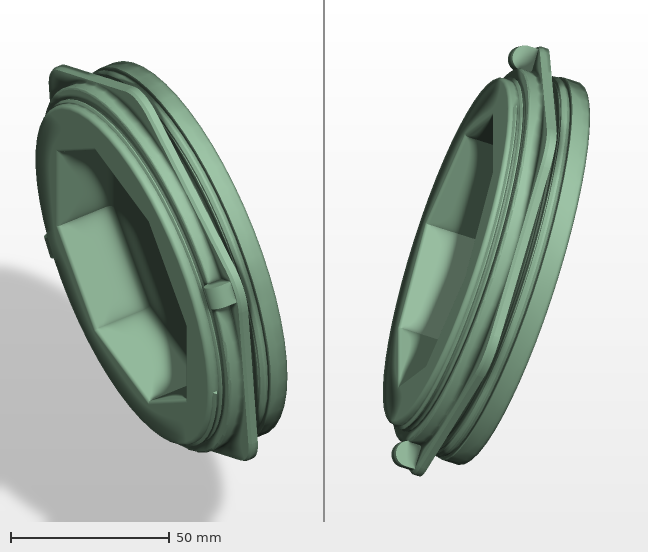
import cadquery as cq
import math


root_radius = 115.1 / 2
crest_radius = 117.1 / 2
end_fillet = 1.1
head_radius = 127.0 / 2
head_bottom = 19.2
head_top = 25.5
head_fillet = 1.3
plug_length = 28.7

thread_start = 2.1
thread_end = 16.4
thread_turns = 7
thread_pitch = (thread_end - thread_start) / thread_turns
crest_width = 0.3
flank_angle = 30
thread_sink = 0.3

recess_across_flats = 84.3
recess_sides = 8
recess_depth = 19.3
mouth_fillet = 1.0
floor_fillet = 2.0

seal_radius = 126.0 / 2
seal_lip_radius = 61.3
seal_bottom = 15.7
seal_rim_bottom = 16.0
seal_rim_top = 18.6
seal_chamfer_height = 1.0
seal_chamfer_inset = 0.5

nut_sides = 6
nut_span = 141.2
nut_tilt = 6.5
nut_corner_radius = 14.8
nut_back = 12.9
nut_flange_front = 9.7
nut_chamfer_depth = 1.0
nut_chamfer_inset = 0.5
collar_radius = 124.0 / 2
collar_front = 5.1
collar_edge_fillet = 0.7
collar_foot_fillet = 0.7

lug_width = 7
lug_length = 8.2
lug_front = 2.4
lug_outer = 69.6
lug_angle = 90 - 360 / nut_sides + nut_tilt
lug_count = 2


def turned(profile):
    """Revolve a closed (radius, y) profile about the Y axis."""
    return profile.close().revolve(360, (0, 0, 0), (0, 1, 0))


def disc(radius, front, back):
    """A cylinder about the Y axis between two y positions."""
    return cq.Workplane("XZ", origin=(0, back, 0)).circle(radius).extrude(back - front)


def make_thread():
    """One right-handed helical ridge with a trapezoidal section, starting on +X."""
    ridge_inner = root_radius - thread_sink
    half_crest = crest_width / 2
    half_base = half_crest + (crest_radius - ridge_inner) * math.tan(math.radians(flank_angle))
    path = cq.Wire.makeHelix(thread_pitch, thread_end - thread_start, ridge_inner)
    ridge = (
        cq.Workplane("XZ")
        .moveTo(ridge_inner, -half_base)
        .lineTo(crest_radius, -half_crest)
        .lineTo(crest_radius, half_crest)
        .lineTo(ridge_inner, half_base)
        .close()
        .sweep(cq.Workplane(obj=path), isFrenet=True)
    )
    return ridge.rotate((0, 0, 0), (1, 0, 0), -90).translate((0, thread_start, 0))


def make_recess():
    """The octagonal cavity, rounded at its floor and flared at its mouth."""
    corner_diameter = recess_across_flats / math.cos(math.pi / recess_sides)
    half_side_angle = math.degrees(math.pi / recess_sides)
    prism = (
        cq.Workplane("XZ", origin=(0, recess_depth, 0))
        .polygon(recess_sides, corner_diameter)
        .extrude(recess_depth)
        .rotate((0, 0, 0), (0, 1, 0), half_side_angle)
    )
    return prism.faces(">Y").edges().fillet(floor_fillet)


def make_plug():
    head_face_radius = head_radius - head_fillet
    dome_height = plug_length - head_top
    dome_radius = (head_face_radius**2 + dome_height**2) / (2 * dome_height)
    dome_center = plug_length - dome_radius
    half_angle = math.asin(head_face_radius / dome_radius) / 2
    dome_middle = (dome_radius * math.sin(half_angle), dome_center + dome_radius * math.cos(half_angle))
    head_edge = head_top - head_fillet
    fillet_middle = head_fillet * math.sqrt(0.5)
    core = turned(
        cq.Workplane("XY")
        .lineTo(root_radius, 0)
        .lineTo(root_radius, head_bottom)
        .lineTo(head_radius, head_bottom)
        .lineTo(head_radius, head_edge)
        .threePointArc(
            (head_face_radius + fillet_middle, head_edge + fillet_middle), (head_face_radius, head_top)
        )
        .threePointArc(dome_middle, (0, plug_length))
    )
    core = core.faces("<Y").edges().fillet(end_fillet)
    pocketed = core.cut(make_recess())
    mouth_edges = pocketed.faces("<Y").edges("%LINE")
    return mouth_edges.fillet(mouth_fillet).union(make_thread())


def make_seal():
    """A ring with a chamfered rim standing out from a narrower band."""
    shoulder_radius = seal_radius - seal_chamfer_inset
    return turned(
        cq.Workplane("XY")
        .moveTo(crest_radius, seal_bottom)
        .lineTo(seal_lip_radius, seal_bottom)
        .lineTo(seal_lip_radius, seal_rim_bottom)
        .lineTo(shoulder_radius, seal_rim_bottom)
        .lineTo(seal_radius, seal_rim_bottom + seal_chamfer_height)
        .lineTo(seal_radius, seal_rim_top - seal_chamfer_height)
        .lineTo(shoulder_radius, seal_rim_top)
        .lineTo(seal_lip_radius, seal_rim_top)
        .lineTo(seal_lip_radius, head_bottom)
        .lineTo(crest_radius, head_bottom)
    )


def make_flange():
    """The rounded hexagonal plate, chamfered along its front edge."""
    corner_center = (nut_span / 2 - nut_corner_radius) / math.cos(math.radians(nut_tilt))
    across_corners = 2 * (corner_center + nut_corner_radius / math.cos(math.pi / nut_sides))
    plate = (
        cq.Workplane("XZ", origin=(0, nut_back, 0))
        .polygon(nut_sides, across_corners)
        .extrude(nut_back - nut_flange_front)
        .edges("|Y")
        .fillet(nut_corner_radius)
        .faces("<Y")
        .edges()
        .chamfer(nut_chamfer_depth, nut_chamfer_inset)
    )
    return plate.rotate((0, 0, 0), (0, 1, 0), -lug_angle)


def make_collar():
    """The round collar, with a rounded front edge and a fillet blending into the flange."""
    foot_middle = collar_foot_fillet * (1 - math.sqrt(0.5))
    foot_top = nut_flange_front - collar_foot_fillet
    foot_radius = collar_radius + collar_foot_fillet
    collar = turned(
        cq.Workplane("XY")
        .moveTo(0, collar_front)
        .lineTo(collar_radius, collar_front)
        .lineTo(collar_radius, foot_top)
        .threePointArc(
            (collar_radius + foot_middle, nut_flange_front - foot_middle), (foot_radius, nut_flange_front)
        )
        .lineTo(0, nut_flange_front)
    )
    return collar.faces("<Y").edges().fillet(collar_edge_fillet)


def make_lug(angle):
    """A block standing on the flange, half-round at its front about a tangential axis."""
    half_length = lug_length / 2
    lug_middle = lug_outer - half_length
    lug_inner = lug_outer - lug_length
    shoulder = lug_front + half_length
    block = (
        cq.Workplane("XY", origin=(0, 0, -lug_width / 2))
        .moveTo(lug_outer, nut_flange_front)
        .lineTo(lug_outer, shoulder)
        .threePointArc((lug_middle, lug_front), (lug_inner, shoulder))
        .lineTo(lug_inner, nut_flange_front)
        .close()
        .extrude(lug_width)
    )
    return block.rotate((0, 0, 0), (0, 1, 0), -angle)


def make_locknut():
    nut = make_flange().union(make_collar())
    for index in range(lug_count):
        nut = nut.union(make_lug(lug_angle + index * 360 / lug_count))
    return nut.cut(disc(crest_radius, collar_front, nut_back))


plug = make_plug()
seal = make_seal()
locknut = make_locknut()

result = cq.Compound.makeCompound([plug.solids().val(), seal.solids().val(), locknut.solids().val()])